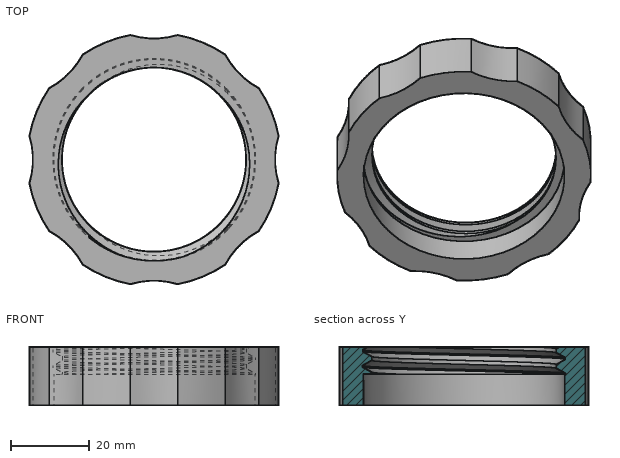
import cadquery as cq
import math

overall_width = 63.9
height = 15.0
grip_count = 8
grip_half_width = 6.1
grip_depth = 0.9

bore_radius = 47.15 / 2
root_radius = 51.95 / 2
relief_radius = 25.75
relief_height = 8.0
pitch = 4.0
crest_width = pitch / 4
root_width = 0.4
crest_angle = 90.0
thread_overrun = 0.3


def polar(radius, degrees):
    angle = math.radians(degrees)
    return (radius * math.cos(angle), radius * math.sin(angle))


def scalloped_outline():
    """Circle interrupted by equally spaced shallow scallops."""
    scallop_chord_distance = overall_width / 2
    outer_radius = math.hypot(scallop_chord_distance, grip_half_width)
    half_angle = math.degrees(math.atan2(grip_half_width, scallop_chord_distance))
    step = 360 / grip_count
    outline = cq.Workplane("XY").moveTo(*polar(outer_radius, -half_angle))
    for i in range(grip_count):
        middle = i * step
        outline = outline.threePointArc(
            polar(scallop_chord_distance - grip_depth, middle),
            polar(outer_radius, middle + half_angle),
        )
        outline = outline.threePointArc(
            polar(outer_radius, middle + step / 2),
            polar(outer_radius, middle + step - half_angle),
        )
    return outline.close()


def thread_groove():
    """Right-handed helical groove that runs out through both ends of the threaded bore."""
    mouth_half = (pitch - crest_width) / 2
    root_half = root_width / 2
    slope = (mouth_half - root_half) / (root_radius - bore_radius)
    inner_half = mouth_half + slope * thread_overrun
    inner_radius = bore_radius - thread_overrun

    turns_below_top = 3.5
    start_z = height - turns_below_top * pitch
    turns_above_top = 1.5
    helix_height = (turns_below_top + turns_above_top) * pitch
    helix = cq.Wire.makeHelix(pitch, helix_height, bore_radius)
    groove = (
        cq.Workplane("XZ")
        .polyline([
            (inner_radius, -inner_half),
            (root_radius, -root_half),
            (root_radius, root_half),
            (inner_radius, inner_half),
        ])
        .close()
        .sweep(cq.Workplane(helix), isFrenet=True)
    )
    return groove.rotate((0, 0, 0), (0, 0, 1), crest_angle).translate((0, 0, start_z))


threaded_section = (
    scalloped_outline()
    .extrude(height - relief_height)
    .translate((0, 0, relief_height))
    .cut(thread_groove())
    .cut(cq.Workplane("XY").circle(bore_radius).extrude(height))
)

relief_section = (
    scalloped_outline()
    .extrude(relief_height)
    .cut(cq.Workplane("XY").circle(relief_radius).extrude(relief_height))
)

result = threaded_section.union(relief_section, clean=True)